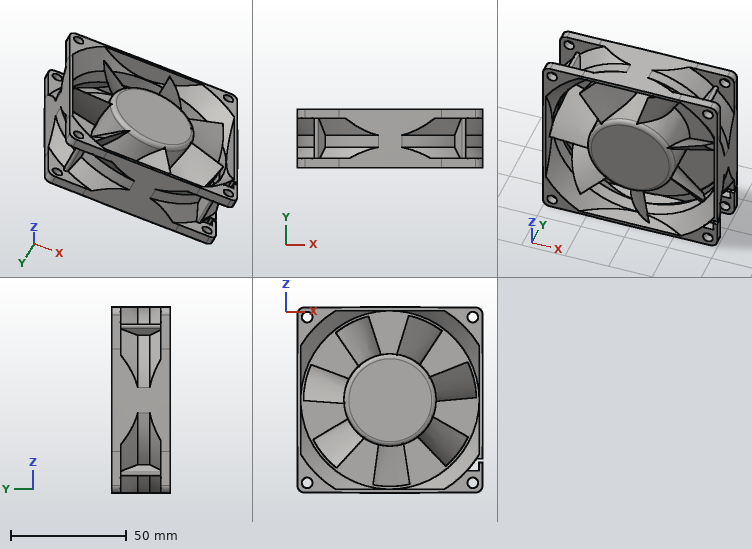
import cadquery as cq
import math


side = 80.0
half_side = side / 2
depth = 25.4
corner_radius = 3.2
bulge_half_length = 22.2
bulge_x = 0.13
bulge_z = 0.195
front_y = -depth / 2
back_y = depth / 2

front_flange = 4.1
back_flange = 3.9
hole_diameter = 4.5
hole_spacing = 71.5

throat_radius = 38.5
throat_front_y = front_y + 8.2
throat_back_y = front_y + 14.6
inner_front_radius = 45.1
inner_back_radius = 42.5
opening_half_width = 38.6
outer_throat_radius = 40.5
outer_throat_front_y = front_y + 8.9
outer_throat_back_y = front_y + 14.1
outer_front_radius = 43.8
outer_back_radius = 44.5
flange_front_y = front_y + front_flange
floor_y = back_y - back_flange

web_thickness = 2.0
web_end_distance = 44.9
web_count = 4

notch_inner_x = 33.8
notch_outer_x = 38.3
notch_bottom_z = -30.5
notch_top_z = -25.4
cable_slot_width = 1.5

back_disc_thickness = 4.6
back_disc_front_y = back_y - back_disc_thickness
hub_radius = 19.9
hub_fillet = 2.0
blade_count = 7
blade_tip_radius = 37.3
blade_front_y = front_y + 0.8
blade_root_distance = 15.0
blade_outer_distance = 39.0
front_edge_offset = 2.97
front_edge_slope = 0.153
back_edge_offset = 2.4
back_edge_slope = 0.134
blade_front_rise = 2.3
blade_back_rise = 0.8


def extrude_back(profile, start_y, length):
    """Extrude the closed XZ outline that profile(plane) makes, from start_y towards +Y."""
    plane = cq.Workplane("XZ", origin=(0, start_y, 0))
    return profile(plane).extrude(-length)


def disc(radius, start_y, length):
    return extrude_back(lambda plane: plane.circle(radius), start_y, length)


def revolve_about_y(points):
    """Revolve (radius, y) points about the Y axis."""
    return cq.Workplane("XY").polyline(points).close().revolve(360, (0, 0, 0), (0, 1, 0))


def outline(plane):
    """Square with four slightly bowed sides and rounded corners, walked clockwise."""
    straight_end = half_side - corner_radius
    arc_mid = straight_end + corner_radius * math.sqrt(0.5)
    crest_x = half_side + bulge_x
    crest_z = half_side + bulge_z
    return (
        plane.moveTo(-bulge_half_length, half_side)
        .threePointArc((0, crest_z), (bulge_half_length, half_side))
        .lineTo(straight_end, half_side)
        .threePointArc((arc_mid, arc_mid), (half_side, straight_end))
        .lineTo(half_side, bulge_half_length)
        .threePointArc((crest_x, 0), (half_side, -bulge_half_length))
        .lineTo(half_side, -straight_end)
        .threePointArc((arc_mid, -arc_mid), (straight_end, -half_side))
        .lineTo(bulge_half_length, -half_side)
        .threePointArc((0, -crest_z), (-bulge_half_length, -half_side))
        .lineTo(-straight_end, -half_side)
        .threePointArc((-arc_mid, -arc_mid), (-half_side, -straight_end))
        .lineTo(-half_side, -bulge_half_length)
        .threePointArc((-crest_x, 0), (-half_side, bulge_half_length))
        .lineTo(-half_side, straight_end)
        .threePointArc((-arc_mid, arc_mid), (-straight_end, half_side))
        .close()
    )


def barrel():
    flared = revolve_about_y([
        (0, flange_front_y),
        (outer_front_radius, flange_front_y),
        (outer_throat_radius, outer_throat_front_y),
        (outer_throat_radius, outer_throat_back_y),
        (outer_back_radius, floor_y),
        (0, floor_y),
    ])
    return flared.intersect(extrude_back(outline, front_y, depth))


def webs():
    """Diagonal ribs between the flanges, running from inside the barrel wall to a round end."""
    span = floor_y - flange_front_y
    start = throat_radius
    length = web_end_distance - start
    rib = (
        cq.Workplane("XZ", origin=(0, flange_front_y, 0))
        .center(start + length / 2, 0)
        .rect(length, web_thickness)
        .extrude(-span)
    )
    end = (
        cq.Workplane("XZ", origin=(0, flange_front_y, 0))
        .center(web_end_distance, 0)
        .circle(web_thickness / 2)
        .extrude(-span)
    )
    web = rib.union(end)
    step = 360 / web_count
    return [web.rotate((0, 0, 0), (0, 1, 0), step * (i + 0.5)) for i in range(web_count)]


def cavity():
    """Flared opening trimmed by the four flats, plus the round hole in the back."""
    flared = revolve_about_y([
        (0, front_y),
        (inner_front_radius, front_y),
        (throat_radius, throat_front_y),
        (throat_radius, throat_back_y),
        (inner_back_radius, floor_y),
        (0, floor_y),
    ])
    width = 2 * opening_half_width
    trimmed = flared.intersect(cq.Workplane("XY").box(width, depth, width))
    return trimmed.union(disc(throat_radius, floor_y, back_flange))


def mounting_holes():
    return (
        cq.Workplane("XZ", origin=(0, front_y, 0))
        .rect(hole_spacing, hole_spacing, forConstruction=True)
        .vertices()
        .circle(hole_diameter / 2)
        .extrude(-depth)
    )


def cable_notch():
    """Hooked notch through both flanges that stops at the rim of the flared opening."""
    slot_bottom_z = notch_top_z - cable_slot_width
    outside_x = half_side + corner_radius
    hook = (
        cq.Workplane("XZ", origin=(0, front_y, 0))
        .moveTo(notch_inner_x, notch_bottom_z)
        .lineTo(notch_outer_x, notch_bottom_z)
        .lineTo(notch_outer_x, slot_bottom_z)
        .lineTo(outside_x, slot_bottom_z)
        .lineTo(outside_x, notch_top_z)
        .lineTo(notch_inner_x, notch_top_z)
        .close()
        .extrude(-depth)
    )
    return hook.cut(disc(inner_front_radius, front_y, depth))


def make_frame():
    body = extrude_back(outline, front_y, front_flange)
    body = body.union(extrude_back(outline, floor_y, back_flange))
    body = body.union(barrel())
    for web in webs():
        body = body.union(web)
    return body.cut(cavity()).cut(mounting_holes()).cut(cable_notch())


def blade_section(distance):
    """Closed lens-shaped wire on the plane z = -distance, sharp at both edges."""
    front_x = front_edge_offset + front_edge_slope * distance
    back_x = -(back_edge_offset + back_edge_slope * distance)
    front_edge = cq.Vector(front_x, blade_front_y, -distance)
    back_edge = cq.Vector(back_x, back_disc_front_y, -distance)
    middle = (front_edge + back_edge) * 0.5
    chord = back_edge - front_edge
    across = cq.Vector(chord.y, -chord.x, 0).normalized()
    front_crest = middle - across * blade_front_rise
    back_crest = middle + across * blade_back_rise
    return cq.Wire.assembleEdges([
        cq.Edge.makeThreePointArc(front_edge, front_crest, back_edge),
        cq.Edge.makeThreePointArc(back_edge, back_crest, front_edge),
    ])


def blades():
    root = blade_section(blade_root_distance)
    outer = blade_section(blade_outer_distance)
    blank = cq.Workplane(cq.Solid.makeLoft([root, outer], True))
    blade = blank.intersect(disc(blade_tip_radius, front_y, depth))
    step = 360 / blade_count
    return [blade.rotate((0, 0, 0), (0, 1, 0), step * i) for i in range(blade_count)]


def make_fan():
    """Hub and blades on a disc that fills the back hole and stands slightly in front of its ledge."""
    hub = disc(hub_radius, front_y, back_disc_front_y - front_y).faces("<Y").edges().fillet(hub_fillet)
    body = hub.union(disc(throat_radius, back_disc_front_y, back_disc_thickness))
    for blade in blades():
        body = body.union(blade)
    return body


frame = make_frame()
fan = make_fan()

result = cq.Compound.makeCompound([frame.solids().val(), fan.solids().val()])